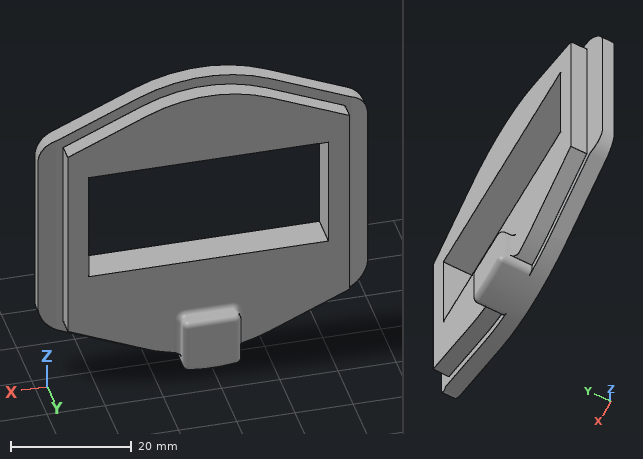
import cadquery as cq
import math

width = 56.7
height = 55.4
layer = 3.0
half_width = width / 2
half_height = height / 2

shoulder_angle = math.radians(23.8)
dome_radius = 28.35
corner_radius = 4.9

panel_inset = 1.85
panel_half_width = 24.2

window_width = 41.15
window_height = 20.0
window_center_z = 2.85

relief_start_x = 25.35
relief_depth = 0.8

tab_width = 10.0
tab_height = 10.0
tab_radius = 1.0

overlap = 0.55


def layer_plane(y):
    """XZ sketch plane at depth y; sketches extrude toward +Y."""
    return cq.Workplane(cq.Plane(origin=(0, y, 0), xDir=(-1, 0, 0), normal=(0, 1, 0)))


def domed_plate(half_w, half_h, radius, y, depth):
    """Body with domed ends, sloping shoulders and sharp side corners."""
    dome_x = radius * math.sin(shoulder_angle)
    dome_z = half_h - radius * (1 - math.cos(shoulder_angle))
    side_z = dome_z - (half_w - dome_x) * math.tan(shoulder_angle)
    return (
        layer_plane(y)
        .moveTo(-half_w, -side_z)
        .lineTo(-half_w, side_z)
        .lineTo(-dome_x, dome_z)
        .threePointArc((0, half_h), (dome_x, dome_z))
        .lineTo(half_w, side_z)
        .lineTo(half_w, -side_z)
        .lineTo(dome_x, -dome_z)
        .threePointArc((0, -half_h), (-dome_x, -dome_z))
        .close()
        .extrude(depth)
    )


def side_relief(side):
    """Wedge that thins the back of one upright side (side is -1 or 1)."""
    slope = relief_depth / (half_width - relief_start_x)
    outer_x = half_width + overlap
    outer_y = layer - slope * (outer_x - relief_start_x)
    return (
        cq.Workplane("XY")
        .polyline([(side * relief_start_x, layer), (side * outer_x, layer), (side * outer_x, outer_y)])
        .close()
        .extrude(half_height, both=True)
    )


plate = domed_plate(half_width, half_height, dome_radius, 0, layer)
plate = plate.edges("|Y and (<X or >X)").fillet(corner_radius)
for side in (-1, 1):
    plate = plate.cut(side_relief(side))

panel = domed_plate(panel_half_width, half_height - panel_inset, dome_radius - panel_inset, layer, layer)

dome_trim = domed_plate(half_width, half_height, dome_radius, layer, 2 * layer)
tab = (
    layer_plane(layer)
    .center(0, -half_height + tab_height / 2)
    .rect(tab_width, tab_height)
    .extrude(2 * layer)
    .intersect(dome_trim)
    .edges("|Y").fillet(tab_radius)
    .faces(">Y").edges().fillet(tab_radius)
)

panel_back = 2 * layer
root_zone = cq.selectors.BoxSelector(
    (-tab_width / 2 - overlap, panel_back - overlap, -half_height),
    (tab_width / 2 + overlap, panel_back + overlap, -half_height + tab_height + overlap),
)
back = panel.union(tab)
back = back.edges(root_zone).fillet(tab_radius)

window = layer_plane(0).center(0, window_center_z).rect(window_width, window_height).extrude(panel_back)

result = plate.union(back).cut(window)